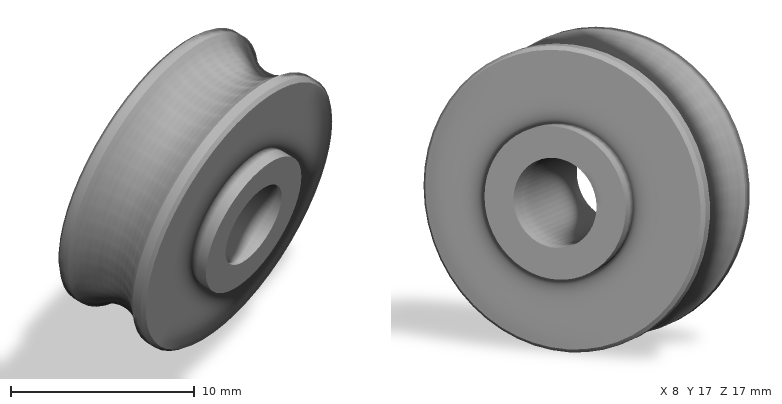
import cadquery as cq
import math

wheel_diameter = 17.0
wheel_width = 6.0
rim_chamfer = 0.2
hub_diameter = 8.5
hub_width = 8.0
bore_diameter = 5.0
groove_radius = 3.0
groove_depth = 1.0

wheel_radius = wheel_diameter / 2
groove_floor_radius = wheel_radius - groove_depth
groove_half_width = math.sqrt(groove_radius**2 - (groove_radius - groove_depth) ** 2)


def cylinder_along_x(diameter, length):
    return cq.Workplane("YZ").circle(diameter / 2).extrude(length / 2, both=True)


def grooved_wheel():
    """Revolve the wheel section, with chamfered rims and a round groove."""
    side = wheel_width / 2
    land_edge = side - rim_chamfer
    shoulder_radius = wheel_radius - rim_chamfer
    section = (
        cq.Workplane("XY")
        .moveTo(-side, 0)
        .lineTo(-side, shoulder_radius)
        .lineTo(-land_edge, wheel_radius)
        .lineTo(-groove_half_width, wheel_radius)
        .threePointArc((0, groove_floor_radius), (groove_half_width, wheel_radius))
        .lineTo(land_edge, wheel_radius)
        .lineTo(side, shoulder_radius)
        .lineTo(side, 0)
        .close()
    )
    return section.revolve(360, (0, 0, 0), (1, 0, 0))


hub = cylinder_along_x(hub_diameter, hub_width)
bore = cylinder_along_x(bore_diameter, hub_width)

result = grooved_wheel().union(hub).cut(bore)